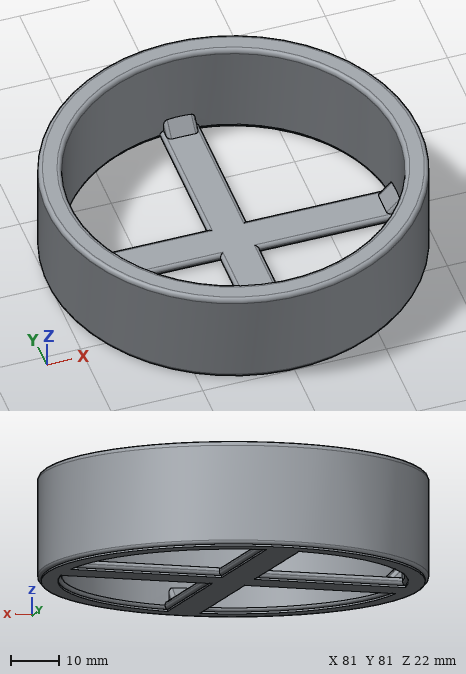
import cadquery as cq

outer_diameter = 81
inner_diameter = 71.0
ring_height = 22.0
top_round = 1.0

bar_width = 8.5
bar_thickness = 2.0
bar_round = 0.8

foot_height = 0.4
lower_round = 0.7

gusset_leg = 3.0
gusset_width = bar_width - 2 * bar_round
gusset_round = 0.8

outer_radius = outer_diameter / 2
inner_radius = inner_diameter / 2
wall = outer_radius - inner_radius
embedded_radius = inner_radius + wall / 2


def make_tube(height, inset=0):
    """Ring blank with both walls moved inwards by the inset."""
    return (
        cq.Workplane("XY")
        .circle(outer_radius - inset)
        .circle(inner_radius + inset)
        .extrude(height)
    )


def make_cross(thickness, inset=0):
    """Two crossed bars with each side moved inwards by the inset."""
    length = 2 * embedded_radius
    width = bar_width - 2 * inset
    along_x = cq.Workplane("XY").rect(length, width).extrude(thickness)
    along_y = cq.Workplane("XY").rect(width, length).extrude(thickness)
    return along_x.union(along_y)


def make_body():
    """Ring and bars above the foot, with rounded upper and lower edges."""
    ring = make_tube(ring_height - foot_height)
    ring = ring.faces(">Z").edges().fillet(top_round)
    ring = ring.faces("<Z").edges().fillet(lower_round)
    cross = make_cross(bar_thickness - foot_height)
    cross = cross.faces(">Z").edges("not(<X or >X or <Y or >Y)").fillet(bar_round)
    cross = cross.faces("<Z").edges("not(<X or >X or <Y or >Y)").fillet(lower_round)
    return ring.union(cross).translate((0, 0, foot_height))


def make_foot():
    foot = make_tube(foot_height, lower_round)
    return foot.union(make_cross(foot_height, lower_round))


def make_gusset():
    """Gusset on the +X bar end, rising at 45 degrees with rounded slope edges."""
    sunk_depth = bar_thickness - foot_height - lower_round
    toe = inner_radius - gusset_leg - sunk_depth
    floor = bar_thickness - sunk_depth
    run = embedded_radius - toe
    wedge = (
        cq.Workplane("XZ")
        .polyline([(toe, floor), (embedded_radius, floor), (embedded_radius, floor + run)])
        .close()
        .extrude(gusset_width / 2, both=True)
    )
    wedge = wedge.faces("<(1,0,-1)").edges("<Y or >Y").fillet(gusset_round)
    trim = cq.Workplane("XY").circle(inner_radius + wall / 4).extrude(ring_height)
    return wedge.intersect(trim)


result = make_body().union(make_foot())
gusset = make_gusset()
for quarter in range(4):
    result = result.union(gusset.rotate((0, 0, 0), (0, 0, 1), 90 * quarter))